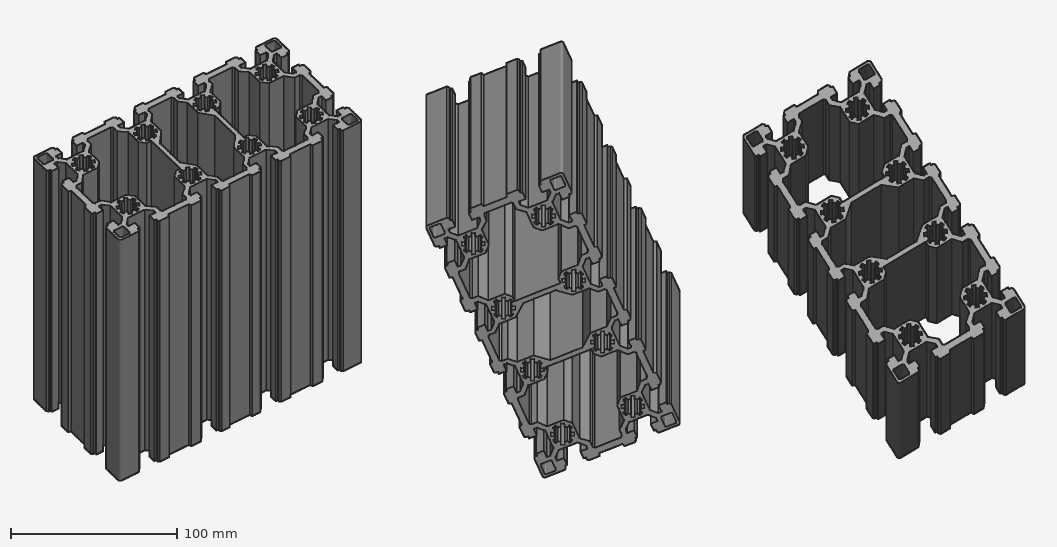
import cadquery as cq

WIDTH = 90.0
DEPTH = 180.0
LENGTH = 200.0

CORE_INSET = 22.0
CORE_PITCH_Y = 46.0
CORE_X = WIDTH / 2 - CORE_INSET
OUTER_CORE_Y = DEPTH / 2 - CORE_INSET
INNER_CORE_Y = OUTER_CORE_Y - CORE_PITCH_Y
CORE_ROWS = (-OUTER_CORE_Y, -INNER_CORE_Y, INNER_CORE_Y, OUTER_CORE_Y)
CORE_HALF = 8.5
CORE_CORNER = 4.5

MOUTH_HALF = 6.8
MOUTH_DEPTH = 2.5
MOUTH_CHAMFER = 1.0
THROAT_HALF = 5.5
LIP_DEPTH = 7.5
CAVITY_HALF = 10.0
CAVITY_SIDE_DEPTH = 9.5
SLOT_DEPTH = 13.5
FLOOR_HALF = CAVITY_HALF - (SLOT_DEPTH - CAVITY_SIDE_DEPTH)

WALL_INSIDE = 6.2
RECESS_DEPTH = 1.8
RECESS_SLOPE = 0.5
OUTER_RECESS_START = 14.8
INNER_RECESS_START = 13.8

ARM_REACH = 13.5
MIDDLE_ARM_REACH = 12.5
ARM_BEND = 10.8
ARM_ROOT = 6.5
WALL_CHAMFER = 1.0
WALL_REACH = CORE_INSET - WALL_INSIDE

WEB_HALF = 1.5
WEB_ROOT = 8.0
WEB_TAPER_REACH = 12.5

BORE_RADIUS = 5.2
GROOVE_RADIUS = 7.0
GROOVE_COUNT = 8
GROOVE_WIDTH = 2.2

TUBE_WALL = 1.8
TUBE_SIZE = 7.5
TUBE_CORNER = 0.8
EDGE_RADIUS = 1.5


def prism(points):
    """Extrude a closed outline over the full length."""
    return cq.Workplane("XY").polyline(points).close().extrude(LENGTH)


def mirrored_x(points):
    """Close a half outline by adding its reflection across the Y axis."""
    return points + [(-x, y) for x, y in reversed(points)]


def place(shape, angle, x, y):
    """Turn a shape about Z, then move it."""
    return shape.rotate((0, 0, 0), (0, 0, 1), angle).translate((x, y, 0))


def slot():
    """T-slot opening toward +Y, with its mouth on the X axis."""
    return prism(mirrored_x([
        (MOUTH_HALF + MOUTH_CHAMFER, 0),
        (MOUTH_HALF, -MOUTH_CHAMFER),
        (MOUTH_HALF, -MOUTH_DEPTH),
        (THROAT_HALF, -MOUTH_DEPTH),
        (THROAT_HALF, -LIP_DEPTH),
        (CAVITY_HALF, -LIP_DEPTH),
        (CAVITY_HALF, -CAVITY_SIDE_DEPTH),
        (FLOOR_HALF, -SLOT_DEPTH),
    ]))


def recess(half_length):
    """Shallow groove in a face opening toward +Y, centred on the Y axis."""
    return prism(mirrored_x([
        (half_length, 0),
        (half_length - RECESS_SLOPE, -RECESS_DEPTH),
    ]))


def end_chamber():
    """Large chamber between the +Y end wall and the nearer cross web."""
    from_outer_core = [
        (ARM_REACH + WALL_CHAMFER, WALL_REACH),
        (ARM_REACH, WALL_REACH - WALL_CHAMFER),
        (ARM_REACH, ARM_BEND),
        (CORE_HALF, ARM_ROOT),
        (CORE_HALF, -CORE_CORNER),
        (CORE_CORNER, -CORE_HALF),
        (-ARM_ROOT, -CORE_HALF),
        (-ARM_BEND, -ARM_REACH),
        (WALL_CHAMFER - WALL_REACH, -ARM_REACH),
        (-WALL_REACH, -ARM_REACH - WALL_CHAMFER),
    ]
    from_inner_core = [
        (-WALL_REACH, ARM_REACH + WALL_CHAMFER),
        (WALL_CHAMFER - WALL_REACH, ARM_REACH),
        (-ARM_BEND, ARM_REACH),
        (-ARM_ROOT, CORE_HALF),
        (CORE_CORNER, CORE_HALF),
        (WEB_ROOT, CORE_HALF + CORE_CORNER - WEB_ROOT),
        (WEB_ROOT, WEB_HALF),
    ]
    half = [(x - CORE_X, y + OUTER_CORE_Y) for x, y in from_outer_core]
    half += [(x - CORE_X, y + INNER_CORE_Y) for x, y in from_inner_core]
    return prism(mirrored_x(half))


def middle_chamber():
    """Chamber between the two cross webs."""
    from_inner_core = [
        (WEB_TAPER_REACH, -WEB_HALF),
        (CORE_CORNER, -CORE_HALF),
        (-ARM_ROOT, -CORE_HALF),
        (-ARM_BEND, -MIDDLE_ARM_REACH),
        (WALL_CHAMFER - WALL_REACH, -MIDDLE_ARM_REACH),
        (-WALL_REACH, -MIDDLE_ARM_REACH - WALL_CHAMFER),
    ]
    quarter = [(x - CORE_X, y + INNER_CORE_Y) for x, y in from_inner_core]
    half = quarter + [(x, -y) for x, y in reversed(quarter)]
    return prism(mirrored_x(half))


def screw_channel():
    """Round bore with evenly spaced grooves, leaving a tooth on each axis."""
    channel = cq.Workplane("XY").circle(BORE_RADIUS).extrude(LENGTH)
    groove = (
        cq.Workplane("XY")
        .center(GROOVE_RADIUS / 2, 0)
        .rect(GROOVE_RADIUS, GROOVE_WIDTH)
        .extrude(LENGTH)
    )
    step = 360 / GROOVE_COUNT
    for index in range(GROOVE_COUNT):
        channel = channel.union(place(groove, (index + 0.5) * step, 0, 0))
    return channel


def rounded_bar(width, depth, radius):
    """Full-length rectangular bar with rounded long edges."""
    return cq.Workplane("XY").rect(width, depth).extrude(LENGTH).edges("|Z").fillet(radius)


body = rounded_bar(WIDTH, DEPTH, EDGE_RADIUS)

for side, angle in ((1, 0), (-1, 180)):
    face_y = side * DEPTH / 2
    for x in (-CORE_X, CORE_X):
        body = body.cut(place(slot(), angle, x, face_y))
    body = body.cut(place(recess(CORE_X - OUTER_RECESS_START), angle, 0, face_y))

end_recess_top = OUTER_CORE_Y - OUTER_RECESS_START
end_recess_bottom = INNER_CORE_Y + OUTER_RECESS_START
end_recess_half = (end_recess_top - end_recess_bottom) / 2
end_recess_y = (end_recess_top + end_recess_bottom) / 2
for side, angle in ((1, -90), (-1, 90)):
    face_x = side * WIDTH / 2
    for y in CORE_ROWS:
        body = body.cut(place(slot(), angle, face_x, y))
    for y in (-end_recess_y, end_recess_y):
        body = body.cut(place(recess(end_recess_half), angle, face_x, y))
    body = body.cut(place(recess(INNER_CORE_Y - INNER_RECESS_START), angle, face_x, 0))

for angle in (0, 180):
    body = body.cut(place(end_chamber(), angle, 0, 0))
body = body.cut(middle_chamber())

for x in (-CORE_X, CORE_X):
    for y in CORE_ROWS:
        body = body.cut(place(screw_channel(), 0, x, y))

tube_x = WIDTH / 2 - TUBE_WALL - TUBE_SIZE / 2
tube_y = DEPTH / 2 - TUBE_WALL - TUBE_SIZE / 2
tube = rounded_bar(TUBE_SIZE, TUBE_SIZE, TUBE_CORNER)
for x in (-tube_x, tube_x):
    for y in (-tube_y, tube_y):
        body = body.cut(place(tube, 0, x, y))

result = body